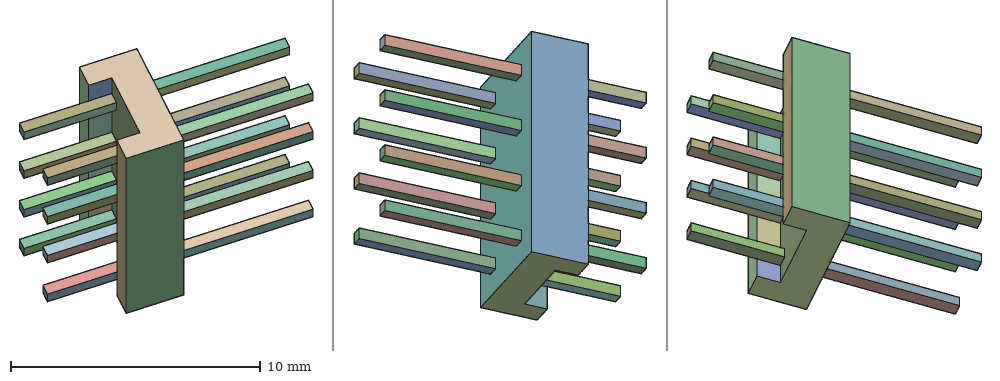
import cadquery as cq

body_width = 5.0
body_depth = 2.5
body_height = 10.15
channel_width = 3.0
channel_depth = 1.0

pin_size = 0.5
pin_length = 11.5
pin_front_reach = 3.0
rows = 4
columns = 2
row_pitch = body_height / rows
column_pitch = channel_width - pin_size


def make_housing():
    """Block with its -Y face on Y = 0, cut by the open-ended channel."""
    block = cq.Workplane("XY").box(
        body_width, body_depth, body_height, centered=(True, False, True)
    )
    channel = cq.Workplane("XY").box(
        channel_width, channel_depth, body_height, centered=(True, False, True)
    )
    return block.cut(channel)


def make_pins():
    """Grid of pins, centred on the housing in X and Z."""
    return (
        cq.Workplane("XZ", origin=(0, -pin_front_reach, 0))
        .rarray(column_pitch, row_pitch, columns, rows)
        .rect(pin_size, pin_size)
        .extrude(-pin_length)
    )


result = make_housing().union(make_pins())